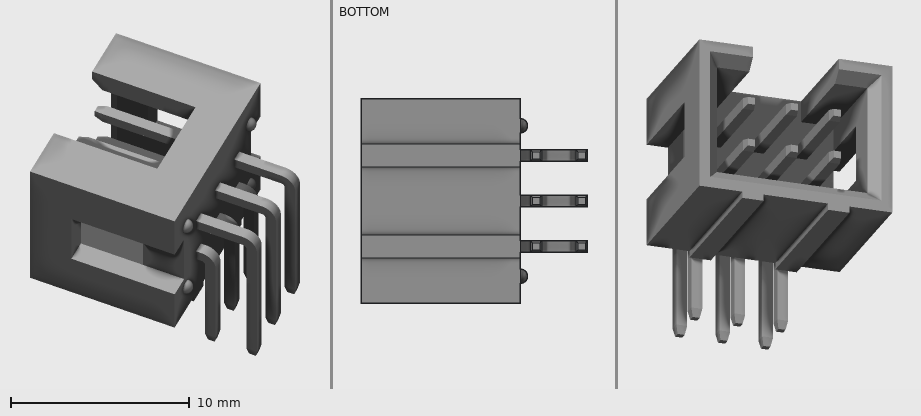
import cadquery as cq
import math

HOUSING_LENGTH = 8.9
HOUSING_WIDTH = 11.44
HOUSING_HEIGHT = 8.9
MID_HEIGHT = HOUSING_HEIGHT / 2

WALL = 1.26
MOUTH_CHAMFER = WALL / 2
CAVITY_DEPTH = 6.36
BACK_WALL = HOUSING_LENGTH - CAVITY_DEPTH
KEY_SLOT_WIDTH = 5.09
SIDE_SLOT_START = 2.54
SIDE_SLOT_HEIGHT = 3.33

PITCH = 2.54
COLUMN_COUNT = 3
PIN_SIZE = 0.65
TIP_SIZE = 0.42
TIP_LENGTH = 0.52
TIP_START = 0.25
INNER_BEND_RADIUS = 0.23
OUTER_BEND_RADIUS = INNER_BEND_RADIUS + PIN_SIZE
LEG_BOTTOM = -3.67
UPPER_LEG_FACE = 12.65
COLUMN_OFFSETS = [(i - (COLUMN_COUNT - 1) / 2) * PITCH for i in range(COLUMN_COUNT)]
ROWS = [
    (MID_HEIGHT + PITCH / 2, UPPER_LEG_FACE),
    (MID_HEIGHT - PITCH / 2, UPPER_LEG_FACE - PITCH),
]

FOOT_WIDTH = 1.26
FOOT_HEIGHT = 0.38
BUMP_RADIUS = 0.4
BUMP_SPACING_Y = 8.41
BUMP_SPACING_Z = 2 * PITCH


def block(x_range, y_range, z_range):
    """Axis-aligned block spanning the three given (low, high) ranges."""
    sizes = [high - low for low, high in (x_range, y_range, z_range)]
    corner = (x_range[0], y_range[0], z_range[0])
    return cq.Workplane("XY").box(*sizes, centered=False).translate(corner)


def cavity():
    """Rectangular cavity that flares out to a chamfered mouth."""
    width = HOUSING_WIDTH - 2 * WALL
    height = HOUSING_HEIGHT - 2 * WALL
    front = cq.Workplane("YZ", origin=(0, 0, MID_HEIGHT))
    straight = front.rect(width, height).extrude(CAVITY_DEPTH)
    mouth = (
        front.rect(width + 2 * MOUTH_CHAMFER, height + 2 * MOUTH_CHAMFER)
        .workplane(offset=MOUTH_CHAMFER)
        .rect(width, height)
        .loft(combine=True)
    )
    return straight.union(mouth)


def key_slot():
    """Slot through the top wall, open at the mouth and reaching down into the cavity."""
    half_width = KEY_SLOT_WIDTH / 2
    return block((0, CAVITY_DEPTH), (-half_width, half_width), (MID_HEIGHT, HOUSING_HEIGHT))


def side_slot(side):
    """Slot one wall deep in a side (-1 or +1): a window into the cavity, then a recess to the back."""
    outer = side * HOUSING_WIDTH / 2
    inner = outer - side * WALL
    half_height = SIDE_SLOT_HEIGHT / 2
    return block(
        (SIDE_SLOT_START, HOUSING_LENGTH),
        (min(inner, outer), max(inner, outer)),
        (MID_HEIGHT - half_height, MID_HEIGHT + half_height),
    )


def pin_hole(y, z):
    """Square hole through the back wall that fits one pin."""
    return cq.Workplane("YZ", origin=(CAVITY_DEPTH, y, z)).rect(PIN_SIZE, PIN_SIZE).extrude(BACK_WALL)


def foot(y):
    """Rail under the housing, as long as the housing."""
    return block((0, HOUSING_LENGTH), (y - FOOT_WIDTH / 2, y + FOOT_WIDTH / 2), (-FOOT_HEIGHT, 0))


def bump(y, z):
    """Ball centred on the back face, so that half of it stands out."""
    return cq.Workplane("XY", origin=(HOUSING_LENGTH, y, z)).sphere(BUMP_RADIUS)


def make_housing():
    half_width = HOUSING_WIDTH / 2
    body = block((0, HOUSING_LENGTH), (-half_width, half_width), (0, HOUSING_HEIGHT))
    body = body.cut(cavity()).cut(key_slot())
    for side in (-1, 1):
        body = body.cut(side_slot(side))
        body = body.union(foot(side * PITCH))
        for level in (-1, 1):
            bump_z = MID_HEIGHT + level * BUMP_SPACING_Z / 2
            body = body.union(bump(side * BUMP_SPACING_Y / 2, bump_z))
    for z, _ in ROWS:
        for y in COLUMN_OFFSETS:
            body = body.cut(pin_hole(y, z))
    return body.solids()


def pin_tip(plane):
    """Taper from the full pin section on the plane to the small end along its normal."""
    return (
        cq.Workplane(plane)
        .rect(PIN_SIZE, PIN_SIZE)
        .workplane(offset=TIP_LENGTH)
        .rect(TIP_SIZE, TIP_SIZE)
        .loft(combine=True)
    )


def make_pin(y, z, leg_face):
    """Right-angle pin at the given centre height, with its leg's outer face at X = leg_face."""
    half = PIN_SIZE / 2
    shank_start = TIP_START + TIP_LENGTH
    leg_end = LEG_BOTTOM + TIP_LENGTH
    leg_back = leg_face - PIN_SIZE
    bend_x = leg_face - OUTER_BEND_RADIUS
    bend_z = z + half - OUTER_BEND_RADIUS
    outer_mid = OUTER_BEND_RADIUS * math.sqrt(0.5)
    inner_mid = INNER_BEND_RADIUS * math.sqrt(0.5)
    shank = (
        cq.Workplane("XZ", origin=(0, y, 0))
        .moveTo(shank_start, z + half)
        .lineTo(bend_x, z + half)
        .threePointArc((bend_x + outer_mid, bend_z + outer_mid), (leg_face, bend_z))
        .lineTo(leg_face, leg_end)
        .lineTo(leg_back, leg_end)
        .lineTo(leg_back, bend_z)
        .threePointArc((bend_x + inner_mid, bend_z + inner_mid), (bend_x, z - half))
        .lineTo(shank_start, z - half)
        .close()
        .extrude(half, both=True)
    )
    contact_plane = cq.Plane(origin=(shank_start, y, z), xDir=(0, 1, 0), normal=(-1, 0, 0))
    leg_plane = cq.Plane(origin=(leg_face - half, y, leg_end), xDir=(1, 0, 0), normal=(0, 0, -1))
    return shank.union(pin_tip(contact_plane)).union(pin_tip(leg_plane)).solids()


housing = make_housing()
pins = [make_pin(y, z, leg_face) for z, leg_face in ROWS for y in COLUMN_OFFSETS]

result = cq.Compound.makeCompound([housing.val(), *[pin.val() for pin in pins]])